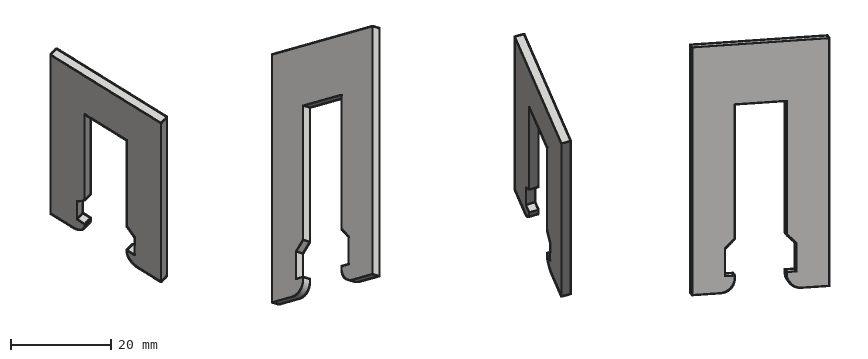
import cadquery as cq

plate_width = 28.0
plate_height = 51.6
plate_thickness = 2.0

slot_width = 10.6
crossbar_height = 12.5
slot_top = plate_height - crossbar_height

recess_depth = 2.0
recess_top = 9.2

hook_height = 3.5
hook_radius = 3.0


def build_plate():
    """Flat plate standing on Z = 0, centred on X and Y."""
    return cq.Workplane("XY").box(
        plate_width, plate_thickness, plate_height, centered=(True, True, False)
    )


def build_slot():
    """Slot with a 45 degree shoulder above each recess, cutting through the plate."""
    half_slot = slot_width / 2
    half_recess = half_slot + recess_depth
    right_side = [
        (half_slot, 0),
        (half_slot, hook_height),
        (half_recess, hook_height),
        (half_recess, recess_top),
        (half_slot, recess_top + recess_depth),
        (half_slot, slot_top),
    ]
    left_side = [(-x, z) for x, z in reversed(right_side)]
    return (
        cq.Workplane("XZ")
        .polyline(right_side + left_side)
        .close()
        .extrude(plate_thickness / 2, both=True)
    )


def round_hook_tips(body):
    """Round the lower inner corner of each hook."""
    for x in (-slot_width / 2, slot_width / 2):
        tip_edge = cq.selectors.NearestToPointSelector((x, 0, 0))
        body = body.edges("|Y").edges(tip_edge).fillet(hook_radius)
    return body


result = round_hook_tips(build_plate().cut(build_slot()))